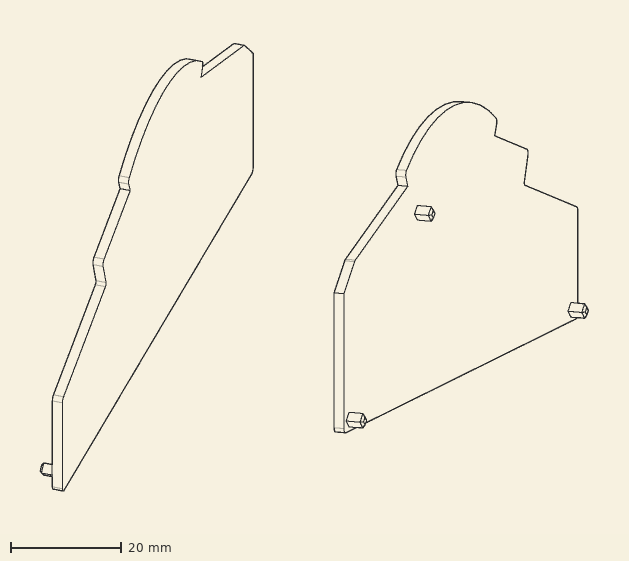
import cadquery as cq
import math

width = 108.8
height = 50.8
thickness = 2.0
corner_radius = 1.0
inner_corner_radius = 0.5

shoulder_slope = math.tan(math.radians(20))
left_wall_height = 26.0
left_bevel_width = 5.1
left_bevel_top = 31.1
left_step_y = 24.7
right_wall_height = 20.6
right_low_step_y = -29.4
right_high_step_y = -15.8
right_high_step_z = 41.5
right_ledge_y = -31.5

crown_radius = 34.8
crown_centre_y = 3.5
crown_left_y = 25.9
crown_right_y = -17.0

peg_diagonal = 2.7
peg_length = 3.2
peg_tip_chamfer = 0.4
peg_edge_offset = 2.4
lower_peg_z = 2.2
peg_positions = [
    (width / 2 - peg_edge_offset, lower_peg_z),
    (-51.1, lower_peg_z),
    (20.2, 34.3),
]


def crown_z(y):
    """Height of the crown arc at a given Y."""
    return height - crown_radius + math.sqrt(crown_radius**2 - (y - crown_centre_y) ** 2)


def make_plate():
    left = width / 2
    right = -width / 2
    left_bevel_y = left - left_bevel_width
    left_step_z = left_bevel_top + (left_bevel_y - left_step_y) * shoulder_slope
    low_step_z = right_wall_height + (right_low_step_y - right) * shoulder_slope
    ledge_z = right_high_step_z - (right_high_step_y - right_ledge_y) * shoulder_slope

    plate = (
        cq.Workplane("YZ")
        .moveTo(left, 0)
        .lineTo(left, left_wall_height)
        .lineTo(left_bevel_y, left_bevel_top)
        .lineTo(left_step_y, left_step_z)
        .lineTo(crown_left_y, crown_z(crown_left_y))
        .threePointArc((crown_centre_y, height), (crown_right_y, crown_z(crown_right_y)))
        .lineTo(right_high_step_y, right_high_step_z)
        .lineTo(right_ledge_y, ledge_z)
        .lineTo(right_low_step_y, low_step_z)
        .lineTo(right, right_wall_height)
        .lineTo(right, 0)
        .close()
        .extrude(thickness)
    )
    outer_corners = [
        (left, 0),
        (right, 0),
        (crown_left_y, crown_z(crown_left_y)),
        (crown_right_y, crown_z(crown_right_y)),
        (right_ledge_y, ledge_z),
        (right, right_wall_height),
        (left_bevel_y, left_bevel_top),
    ]
    rounded_corners = [(y, z, corner_radius) for y, z in outer_corners]
    rounded_corners.append((right_low_step_y, low_step_z, inner_corner_radius))
    for y, z, radius in rounded_corners:
        corner_edge = cq.selectors.NearestToPointSelector((thickness / 2, y, z))
        plate = plate.edges("|X").edges(corner_edge).fillet(radius)
    return plate


def make_pegs():
    return (
        cq.Workplane("YZ")
        .pushPoints(peg_positions)
        .polygon(4, peg_diagonal)
        .extrude(-peg_length)
        .faces("<X")
        .chamfer(peg_tip_chamfer)
    )


result = make_plate().union(make_pegs())